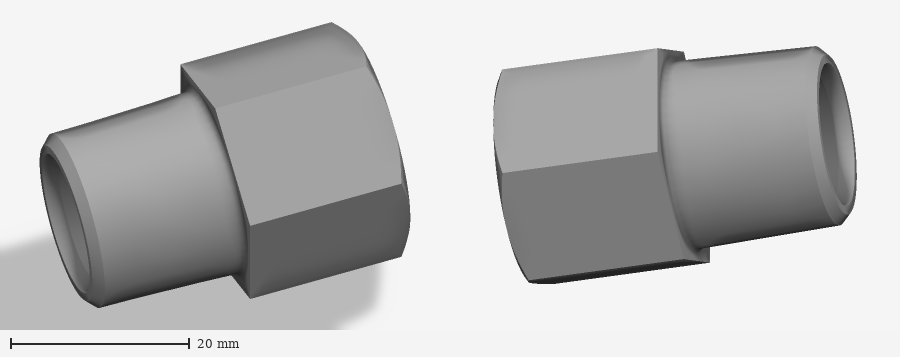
import cadquery as cq
import math

total_length = 36.6
across_flats = 23.8
across_corners = across_flats / math.cos(math.radians(30))
hex_length = 18.95
spigot_length = total_length - hex_length
hex_chamfer_angle = 30.0

tip_chamfer = 1.1
tip_diameter = 20.25
root_diameter = 21.2
root_fillet = 0.6

bore_diameter = 14.3
countersink_diameter = 16.18
countersink_half_angle = 30.0
countersink_step = (countersink_diameter - bore_diameter) / 2
countersink_depth = countersink_step / math.tan(math.radians(countersink_half_angle))


def revolve_profile(points):
    """Revolve a closed (radius, Y) outline about the Y axis."""
    return cq.Workplane("XY").polyline(points).close().revolve(360, (0, 0, 0), (0, 1, 0))


def make_hex_body():
    corners = []
    for index in range(6):
        angle = math.radians(30 + 60 * index)
        corners.append((across_corners / 2 * math.cos(angle), across_corners / 2 * math.sin(angle)))
    prism = (
        cq.Workplane("XZ", origin=(0, spigot_length, 0))
        .polyline(corners)
        .close()
        .extrude(-hex_length)
    )
    flat_radius = across_flats / 2
    corner_radius = across_corners / 2
    chamfer_depth = (corner_radius - flat_radius) * math.tan(math.radians(hex_chamfer_angle))
    envelope = revolve_profile([
        (0, spigot_length),
        (corner_radius, spigot_length),
        (corner_radius, total_length - chamfer_depth),
        (flat_radius, total_length),
        (0, total_length),
    ])
    return prism.intersect(envelope)


def make_spigot():
    return revolve_profile([
        (0, 0),
        (tip_diameter / 2 - tip_chamfer, 0),
        (tip_diameter / 2, tip_chamfer),
        (root_diameter / 2, spigot_length),
        (0, spigot_length),
    ])


def make_bore():
    return revolve_profile([
        (0, 0),
        (countersink_diameter / 2, 0),
        (bore_diameter / 2, countersink_depth),
        (bore_diameter / 2, total_length),
        (0, total_length),
    ])


body = make_hex_body().union(make_spigot())
selection_margin = 0.05
root_edge = cq.selectors.BoxSelector(
    (-root_diameter, spigot_length - selection_margin, -root_diameter),
    (root_diameter, spigot_length + selection_margin, root_diameter),
)
body = body.edges(root_edge).edges("%CIRCLE").fillet(root_fillet)
result = body.cut(make_bore())